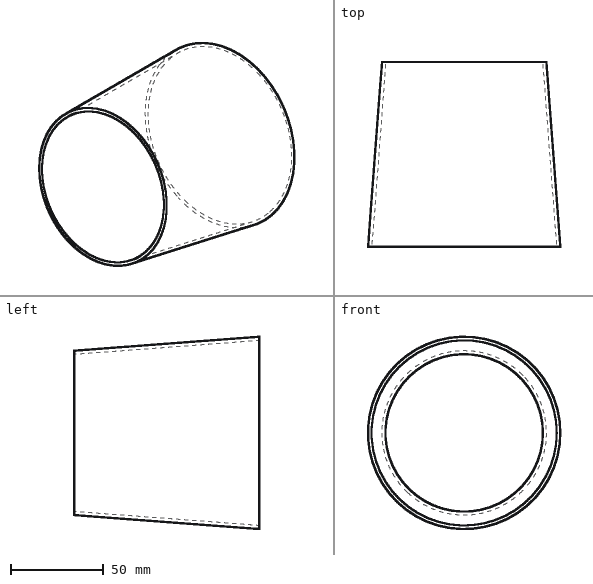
import cadquery as cq

length = 100.0
wide_diameter = 104.0
narrow_diameter = 88.9
wall = 2.0


def frustum(wide_radius, narrow_radius):
    """Solid cone frustum along +Y, starting from the wide end."""
    half_section = (
        cq.Workplane("XY")
        .lineTo(wide_radius, 0)
        .lineTo(narrow_radius, length)
        .lineTo(0, length)
        .close()
    )
    return half_section.revolve(360, (0, 0, 0), (0, 1, 0))


outer_body = frustum(wide_diameter / 2, narrow_diameter / 2)
bore = frustum(wide_diameter / 2 - wall, narrow_diameter / 2 - wall)

result = outer_body.cut(bore)